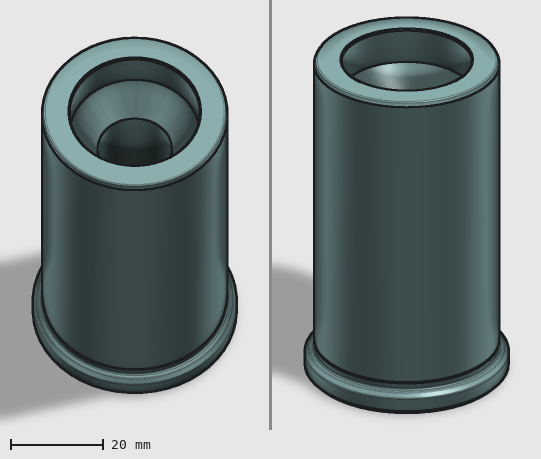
import cadquery as cq
import math

TOTAL_HEIGHT = 75.0
BODY_RADIUS = 40.0 / 2

FLANGE_RADIUS = 44.0 / 2
FLANGE_HEIGHT = 5.0
FLANGE_CHAMFER = 1.0

LEAD_WIDTH = 0.5
LEAD_HEIGHT = 1.0

EDGE_ROUNDING = 0.4
MATCH_TOLERANCE = 0.001

RELIEF_RADIUS = 39.7 / 2
RELIEF_WIDTH = 2.0
RELIEF_RUNOUT = 0.4
RELIEF_FILLET = 0.4

BORE_RADIUS = 16.0 / 2
COUNTERBORE_RADIUS = 28.0 / 2
COUNTERBORE_DEPTH = 8.0
MOUTH_CHAMFER_WIDTH = 0.25
MOUTH_CHAMFER_HEIGHT = 0.4
SEAT_HALF_ANGLE = 45.0


def revolve_about_z(profile):
    """Close a (radius, height) profile and revolve it around the Z axis."""
    return profile.close().revolve(360, (0, 0, 0), (0, 1, 0))


def outer_body():
    """Flanged cylinder with its relief groove and edge chamfers."""
    relief_top = FLANGE_HEIGHT + RELIEF_WIDTH
    fillet_center = (RELIEF_RADIUS + RELIEF_FILLET, FLANGE_HEIGHT + RELIEF_FILLET)
    fillet_offset = RELIEF_FILLET * math.sqrt(0.5)
    fillet_middle = (fillet_center[0] - fillet_offset, fillet_center[1] - fillet_offset)
    profile = (
        cq.Workplane("XZ")
        .moveTo(0, 0)
        .lineTo(FLANGE_RADIUS - FLANGE_CHAMFER, 0)
        .lineTo(FLANGE_RADIUS, FLANGE_CHAMFER)
        .lineTo(FLANGE_RADIUS, FLANGE_HEIGHT - FLANGE_CHAMFER)
        .lineTo(FLANGE_RADIUS - FLANGE_CHAMFER, FLANGE_HEIGHT)
        .lineTo(fillet_center[0], FLANGE_HEIGHT)
        .threePointArc(fillet_middle, (RELIEF_RADIUS, fillet_center[1]))
        .lineTo(RELIEF_RADIUS, relief_top - RELIEF_RUNOUT)
        .lineTo(BODY_RADIUS, relief_top)
        .lineTo(BODY_RADIUS, TOTAL_HEIGHT - LEAD_HEIGHT)
        .lineTo(BODY_RADIUS - LEAD_WIDTH, TOTAL_HEIGHT)
        .lineTo(0, TOTAL_HEIGHT)
    )
    return revolve_about_z(profile)


def round_edge(solid, radius, height):
    """Round the circular edge of the given radius at the given height."""
    matching_edges = [
        edge
        for edge in solid.edges("%CIRCLE").vals()
        if math.isclose(edge.radius(), radius, abs_tol=MATCH_TOLERANCE)
        and math.isclose(edge.Center().z, height, abs_tol=MATCH_TOLERANCE)
    ]
    return solid.newObject(matching_edges).fillet(EDGE_ROUNDING)


def stepped_bore():
    """Through bore opening by a conical seat into a chamfered counterbore."""
    seat_top = TOTAL_HEIGHT - COUNTERBORE_DEPTH
    seat_height = (COUNTERBORE_RADIUS - BORE_RADIUS) / math.tan(math.radians(SEAT_HALF_ANGLE))
    profile = (
        cq.Workplane("XZ")
        .moveTo(0, 0)
        .lineTo(BORE_RADIUS, 0)
        .lineTo(BORE_RADIUS, seat_top - seat_height)
        .lineTo(COUNTERBORE_RADIUS, seat_top)
        .lineTo(COUNTERBORE_RADIUS, TOTAL_HEIGHT - MOUTH_CHAMFER_HEIGHT)
        .lineTo(COUNTERBORE_RADIUS + MOUTH_CHAMFER_WIDTH, TOTAL_HEIGHT)
        .lineTo(0, TOTAL_HEIGHT)
    )
    return revolve_about_z(profile)


body = outer_body()
body = round_edge(body, FLANGE_RADIUS, FLANGE_HEIGHT - FLANGE_CHAMFER)
body = round_edge(body, FLANGE_RADIUS - FLANGE_CHAMFER, FLANGE_HEIGHT)
body = round_edge(body, BODY_RADIUS - LEAD_WIDTH, TOTAL_HEIGHT)
result = body.cut(stepped_bore())